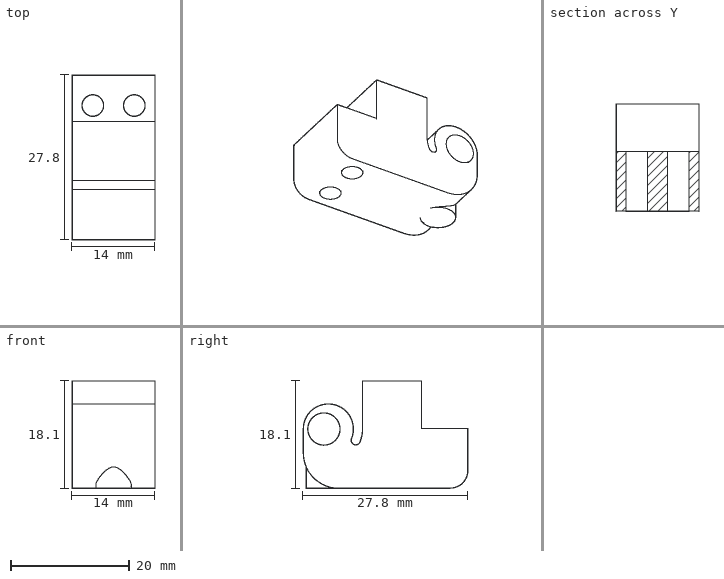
import math

import cadquery as cq

width = 14.0
length = 27.82
height = 18.13

tower_front_y = 10.0
tower_depth = 10.0
tower_back_y = tower_front_y + tower_depth
tower_rise = 8.0
ledge_z = height - tower_rise
rear_corner_radius = 3.0
front_corner_radius = 6.0

barrel_radius = 4.25
barrel_y = barrel_radius
barrel_z = 10.0
bore_diameter = 5.4
bore_y = 3.5

slot_angle = 22.5
slot_outer_radius = tower_front_y - barrel_y
slot_middle_radius = (barrel_radius + slot_outer_radius) / 2
slot_end_radius = (slot_outer_radius - barrel_radius) / 2

screw_diameter = 3.6
screw_spacing = 7.0
screw_y = 22.7

peg_diameter = 6.0
peg_y = 3.5


def around_barrel(radius, degrees_below):
    """Point (Y, Z) at a radius from the barrel axis, at an angle below its rear horizontal."""
    angle = math.radians(degrees_below)
    return (barrel_y + radius * math.cos(angle), barrel_z - radius * math.sin(angle))


def slot_tip():
    """Deepest point (Y, Z) of the slot's rounded end."""
    middle_y, middle_z = around_barrel(slot_middle_radius, slot_angle)
    angle = math.radians(slot_angle)
    return (middle_y - slot_end_radius * math.sin(angle), middle_z - slot_end_radius * math.cos(angle))


def make_body():
    """Side profile in the YZ plane, extruded across the width."""
    profile = (
        cq.Workplane("YZ")
        .moveTo(0, 0)
        .lineTo(length, 0)
        .lineTo(length, ledge_z)
        .lineTo(tower_back_y, ledge_z)
        .lineTo(tower_back_y, height)
        .lineTo(tower_front_y, height)
        .lineTo(tower_front_y, barrel_z)
        .threePointArc(
            around_barrel(slot_outer_radius, slot_angle / 2),
            around_barrel(slot_outer_radius, slot_angle),
        )
        .threePointArc(slot_tip(), around_barrel(barrel_radius, slot_angle))
        .threePointArc((barrel_y, barrel_z + barrel_radius), (0, barrel_z))
        .close()
    )
    body = profile.extrude(width / 2, both=True)
    body = body.edges("|X and <Z and <Y").fillet(front_corner_radius)
    return body.edges("|X and <Z and >Y").fillet(rear_corner_radius)


def make_bore():
    """Cutter for the bore along the whole barrel."""
    return (
        cq.Workplane("YZ")
        .center(bore_y, barrel_z)
        .circle(bore_diameter / 2)
        .extrude(width / 2, both=True)
    )


def make_screw_holes():
    """Cutters for the pair of holes through the ledge."""
    return (
        cq.Workplane("XY")
        .pushPoints([(side * screw_spacing / 2, screw_y) for side in (-1, 1)])
        .circle(screw_diameter / 2)
        .extrude(ledge_z)
    )


def make_peg():
    """Peg rising from the underside up to the middle of the barrel."""
    return cq.Workplane("XY").center(0, peg_y).circle(peg_diameter / 2).extrude(barrel_z)


result = make_body().union(make_peg()).cut(make_bore()).cut(make_screw_holes())